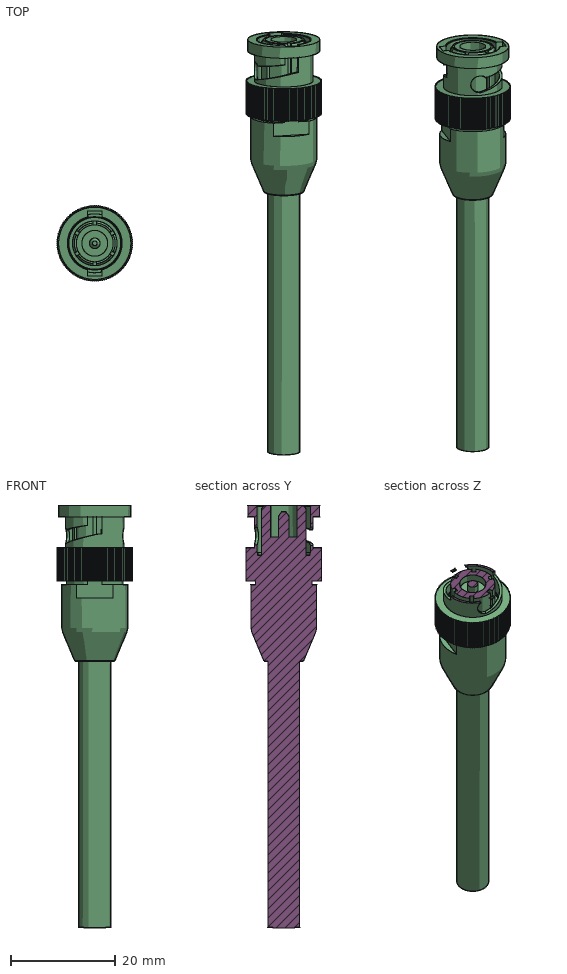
import cadquery as cq
import math

total_length = 81.03

rim_radius = 13.84 / 2
rim_length = 2.2
neck_radius = 11.3 / 2
knurl_radius = 14.49 / 2
knurl_top = -8.1
knurl_length = 6.4
knurl_bottom = knurl_top - knurl_length
knurl_teeth = 120
knurl_depth = 0.12

collar_radius = 10.9 / 2
body_radius = 12.7 / 2
body_top = -15.15
body_bottom = -23.5
shoulder_drop = 0.85
shoulder_inset = 0.2
cone_bottom = -29.9
cone_end_radius = 3.9
cone_end_round = 0.2
cable_radius = 6.22 / 2
cable_core_radius = 4.14 / 2
cable_core_length = 0.13

flat_offset = 5.27
flat_bottom = -17.7

bore_radius = 5.1
bore_chamfer = 0.15
bore_depth = 9.0
bore_step_radius = 9.94 / 2
bore_step_depth = 0.5
sleeve_radius = 4.28
sleeve_tip_radius = 3.9
sleeve_tip_length = 0.6
insulator_radius = 3.54
sleeve_recess = 0.05
slit_count = 6
slit_width = 0.73
slit_depth = 8.5
cavity_radius = 4.95 / 2
cavity_depth = 6.0
pin_radius = 2.03 / 2
pin_tip_radius = 0.45
pin_tip_depth = 1.2
pin_taper_length = 0.8

entry_width = 2.69
entry_rim_radius = 6.24
entry_depth = 4.6
ramp_inner_radius = 4.6
ramp_outer_radius = 6.0
ramp_height = 2.0
ramp_start_depth = 4.6
ramp_upper_drop = 1.24
ramp_lower_drop = 2.02
ramp_quarter = 90.0
lock_hole_radius = 3.35 / 2
lock_hole_depth = 5.87


def cylinder(radius, top, bottom):
    return cq.Workplane("XY").workplane(offset=bottom).circle(radius).extrude(top - bottom)


def revolved(points):
    return cq.Workplane("XZ").polyline(points).close().revolve(360, (0, 0, 0), (0, 1, 0))


def make_outer_body():
    cable_end = -total_length + cable_core_length
    outline = [
        (0, 0),
        (rim_radius, 0),
        (rim_radius, -rim_length),
        (neck_radius, -rim_length),
        (neck_radius, knurl_top),
        (collar_radius, knurl_top),
        (collar_radius, body_top),
        (body_radius, body_top),
        (body_radius, body_bottom),
        (body_radius - shoulder_inset, body_bottom - shoulder_drop),
        (cone_end_radius, cone_bottom + cone_end_round),
        (cone_end_radius - cone_end_round, cone_bottom),
        (cable_radius, cone_bottom),
        (cable_radius, cable_end),
        (cable_core_radius, cable_end),
        (cable_core_radius, -total_length),
        (0, -total_length),
    ]
    return revolved(outline)


def make_knurl():
    """Ring of straight V-shaped teeth around the grip."""
    points = []
    for i in range(2 * knurl_teeth):
        angle = math.pi * i / knurl_teeth
        radius = knurl_radius - knurl_depth * (i % 2)
        points.append((radius * math.cos(angle), radius * math.sin(angle)))
    return cq.Workplane("XY").workplane(offset=knurl_bottom).polyline(points).close().extrude(knurl_length)


def make_flat_cuts():
    """Two blocks that leave flats facing -Y and +Y below the knurl."""
    size = 2 * body_radius
    height = knurl_bottom - flat_bottom
    cuts = cq.Workplane("XY")
    for side in (-1, 1):
        block = cq.Workplane("XY").box(size, size, height, centered=(True, True, False))
        cuts = cuts.add(block.translate((0, side * (flat_offset + size / 2), flat_bottom)))
    return cuts.combine()


def make_socket_cut():
    """Ring-shaped space around the contact sleeve, whose tip sits just below the insulator face."""
    return revolved([
        (insulator_radius, 0),
        (bore_radius + bore_chamfer, 0),
        (bore_radius, -bore_chamfer),
        (bore_radius, -bore_depth),
        (bore_step_radius, -bore_depth),
        (bore_step_radius, -bore_depth - bore_step_depth),
        (sleeve_radius, -bore_depth - bore_step_depth),
        (sleeve_radius, -sleeve_tip_length),
        (sleeve_tip_radius, -sleeve_recess),
        (insulator_radius, -sleeve_recess),
    ])


def make_slit_cuts():
    """Slits through the contact sleeve, stopping at the insulator."""
    blades = cq.Workplane("XY")
    for i in range(slit_count):
        blade = cq.Workplane("XY").box(
            bore_radius, slit_width, slit_depth, centered=(False, True, False)
        )
        blade = blade.translate((0, 0, -slit_depth))
        blades = blades.add(blade.rotate((0, 0, 0), (0, 0, 1), 90 + i * 360 / slit_count))
    ring = cylinder(bore_radius, 0, -slit_depth).cut(cylinder(insulator_radius, 0, -slit_depth))
    return blades.combine().intersect(ring)


def make_pin_cavity():
    """Round cavity in the insulator around the tapered centre pin."""
    return revolved([
        (0, 0),
        (cavity_radius, 0),
        (cavity_radius, -cavity_depth),
        (pin_radius, -cavity_depth),
        (pin_radius, -pin_tip_depth - pin_taper_length),
        (pin_tip_radius, -pin_tip_depth),
        (0, -pin_tip_depth),
    ])


def make_ramp_cut(drop):
    """Helical groove from the entry on the -Y side down to the locking hole on the -X side."""
    half_entry_angle = math.degrees(math.asin(entry_width / 2 / neck_radius))
    turn = ramp_quarter + half_entry_angle
    pitch = drop * 360 / ramp_quarter
    helix = cq.Wire.makeHelix(pitch, pitch * turn / 360, ramp_outer_radius)
    groove = (
        cq.Workplane("XZ")
        .center((ramp_inner_radius + ramp_outer_radius) / 2, 0)
        .rect(ramp_outer_radius - ramp_inner_radius, ramp_height)
        .sweep(cq.Workplane(helix), isFrenet=True)
    )
    groove = groove.rotate((0, 0, 0), (0, 0, 1), 180)
    return groove.translate((0, 0, -ramp_start_depth - drop))


def cut_bayonet_slots(body):
    shell = cylinder(rim_radius, 0, knurl_top).cut(cylinder(ramp_inner_radius, 0, knurl_top))
    entry = cq.Workplane("XY").box(
        entry_width, entry_rim_radius, entry_depth, centered=(True, False, False)
    )
    entry = entry.translate((0, -entry_rim_radius, -entry_depth)).intersect(shell)
    lock_hole = cq.Workplane("YZ").center(0, -lock_hole_depth).circle(lock_hole_radius)
    lock_hole = lock_hole.extrude(-rim_radius).intersect(shell)
    ramps = [make_ramp_cut(drop) for drop in (ramp_upper_drop, ramp_lower_drop)]
    for cutter in [entry, lock_hole] + ramps:
        for angle in (0, 180):
            body = body.cut(cutter.rotate((0, 0, 0), (0, 0, 1), angle))
    return body


def make_part():
    body = make_outer_body().cut(make_flat_cuts())
    body = body.union(make_knurl())
    body = body.cut(make_socket_cut())
    body = body.cut(make_slit_cuts())
    body = body.cut(make_pin_cavity())
    return cut_bayonet_slots(body)


result = make_part()